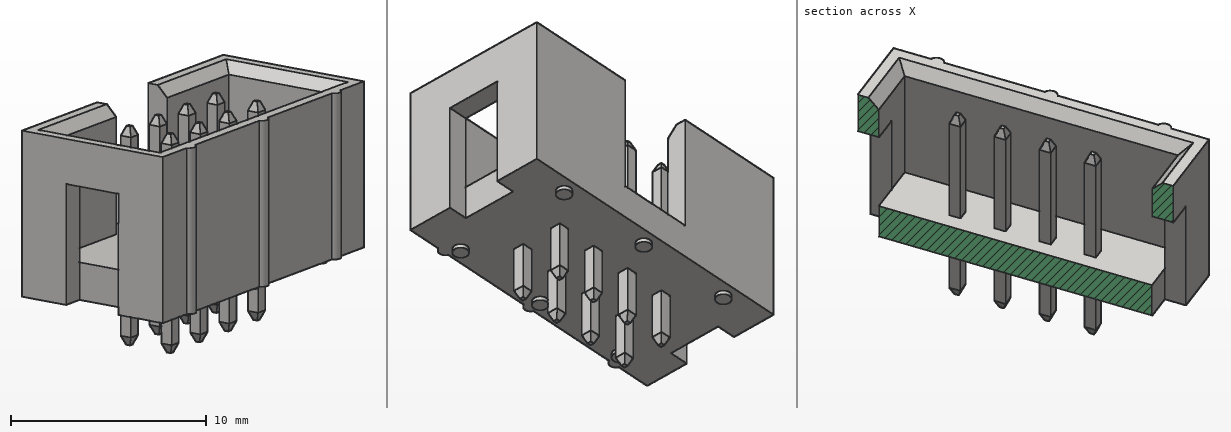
import cadquery as cq

length = 17.82
width = 8.8
height = 8.8
wall = 1.2
floor_thickness = 2.0
rim_chamfer = 0.59

key_width = 4.49
window_width = 3.28
window_height = 6.42

pin_rows = 2
pins_per_row = 4
pin_pitch = 2.55
pin_size = 0.65
pin_bottom = -3.19
pin_top = 8.41
pin_taper = 0.5
pin_tip_size = 0.23

foot_diameter = 0.85
foot_height = 0.23
foot_rows = 2
feet_per_row = 3
foot_spacing_x = 7.2
foot_spacing_y = 5.99

rib_diameter = 0.8
rib_projection = 0.25
rib_spacing = 6.42


def box(size_x, size_y, size_z):
    """A box centred in X and Y, with its base on z = 0."""
    return cq.Workplane("XY").box(size_x, size_y, size_z, centered=(True, True, False))


def make_shroud():
    inner_width = width - 2 * wall
    inner_length = length - 2 * wall
    cavity = box(inner_width, inner_length, height).translate((0, 0, floor_thickness))
    rim = (
        cq.Workplane("XY", origin=(0, 0, height - rim_chamfer))
        .rect(inner_width, inner_length)
        .workplane(offset=rim_chamfer)
        .rect(inner_width + 2 * rim_chamfer, inner_length + 2 * rim_chamfer)
        .loft(ruled=True)
    )
    shroud = box(width, length, height).cut(cavity).cut(rim)

    key = box(wall, key_width, height)
    shroud = shroud.cut(key.translate(((wall - width) / 2, 0, floor_thickness)))

    window = box(window_width, wall, window_height)
    for side in (-1, 1):
        shroud = shroud.cut(window.translate((0, side * (length - wall) / 2, 0)))
    return shroud


def make_pin():
    """One pin on the Z axis, tapered at both ends."""
    shaft_bottom = pin_bottom + pin_taper
    shaft_top = pin_top - pin_taper
    pin = box(pin_size, pin_size, shaft_top - shaft_bottom).translate((0, 0, shaft_bottom))
    for shaft_end, taper in ((shaft_top, pin_taper), (shaft_bottom, -pin_taper)):
        tip = (
            cq.Workplane("XY", origin=(0, 0, shaft_end))
            .rect(pin_size, pin_size)
            .workplane(offset=taper)
            .rect(pin_tip_size, pin_tip_size)
            .loft(ruled=True)
        )
        pin = pin.union(tip)
    return pin


def make_ribs():
    rib_axis_x = width / 2 + rib_projection - rib_diameter / 2
    return (
        cq.Workplane("XY")
        .pushPoints([(rib_axis_x, row * rib_spacing) for row in (-1, 0, 1)])
        .circle(rib_diameter / 2)
        .extrude(height)
    )


def make_feet():
    return (
        cq.Workplane("XY")
        .rarray(foot_spacing_x, foot_spacing_y, foot_rows, feet_per_row)
        .circle(foot_diameter / 2)
        .extrude(-foot_height)
    )


result = make_shroud().union(make_feet()).union(make_ribs())

pin = make_pin()
for column in range(pin_rows):
    x = (column - (pin_rows - 1) / 2) * pin_pitch
    for row in range(pins_per_row):
        y = (row - (pins_per_row - 1) / 2) * pin_pitch
        result = result.union(pin.translate((x, y, 0)))